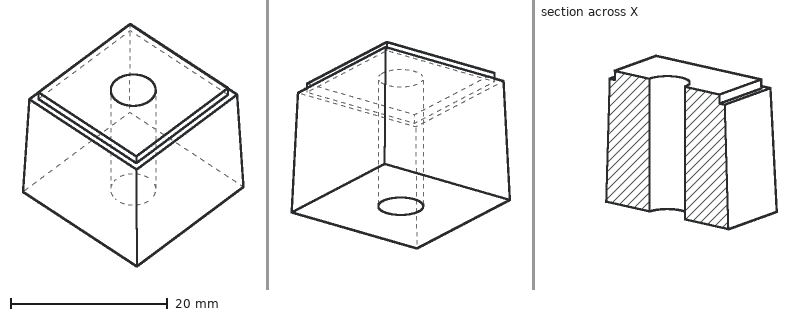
import cadquery as cq
import math

base_width = 19.91
draft_angle = 2.0
plate_width = 17.1
total_height = 17.7
plate_height = 1.2
bore_diameter = 5.74

body_height = total_height - plate_height
shoulder_width = base_width - 2 * body_height * math.tan(math.radians(draft_angle))


def tapered_body():
    """Square block that narrows evenly from its base to its shoulder."""
    return (
        cq.Workplane("XY")
        .rect(base_width, base_width)
        .workplane(offset=body_height)
        .rect(shoulder_width, shoulder_width)
        .loft(ruled=True)
    )


def top_plate():
    """Raised square plate on the shoulder."""
    return (
        cq.Workplane("XY")
        .workplane(offset=body_height)
        .rect(plate_width, plate_width)
        .extrude(plate_height)
    )


def through_bore():
    """Cylinder along the central axis, over the full height."""
    return cq.Workplane("XY").circle(bore_diameter / 2).extrude(total_height)


result = tapered_body().union(top_plate()).cut(through_bore())